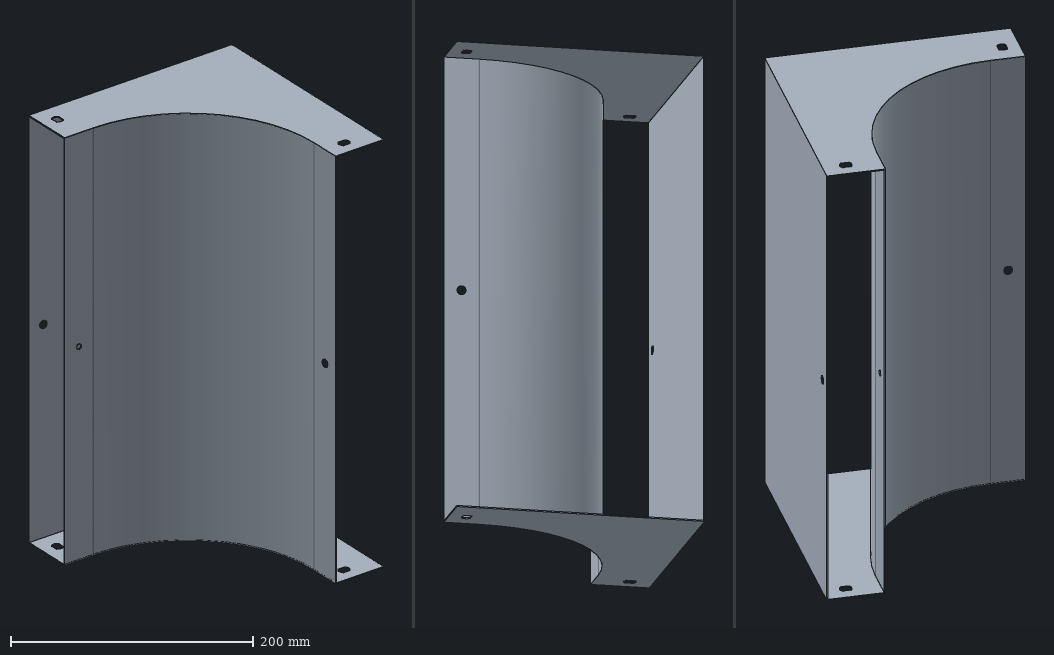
import cadquery as cq

height = 400.0
side = 210.0
sheet = 1.0

leg_width = 50.0
straight = 30.0
arc_radius = side - leg_width - straight

hole_diameter = 7.0
pilot_diameter = 5.0
hole_inset = straight / 2

flat_hole_diameter = 10.0
flat_hole_width = 7.0
left_flat_hole_x = 20.0
right_flat_hole_from_back = 30.0


def corner_outline(offset):
    """Corner-shaped outline whose concave side is moved inward by offset."""
    leg = leg_width - offset
    diagonal = (arc_radius + offset) * 0.5 ** 0.5
    center_x = side - straight
    center_y = straight
    return (
        cq.Workplane("XY")
        .moveTo(0, 0)
        .lineTo(leg, 0)
        .lineTo(leg, center_y)
        .threePointArc(
            (center_x - diagonal, center_y + diagonal),
            (center_x, side - leg),
        )
        .lineTo(side, side - leg)
        .lineTo(side, side)
        .lineTo(0, side)
        .close()
    )


def hollow_shell():
    """Left wall, concave wall and two end plates; the back and both leg ends are open."""
    block = corner_outline(0).extrude(height)
    cavity = corner_outline(sheet).extrude(height - 2 * sheet).translate((0, 0, sheet))
    left_wall = cq.Workplane("XY").box(sheet, side, height, centered=False)
    return block.cut(cavity).union(left_wall)


def cylinder(diameter, length, start, direction):
    return cq.Workplane(
        cq.Solid.makeCylinder(diameter / 2, length, cq.Vector(*start), cq.Vector(*direction))
    )


def wall_holes():
    """Clearance hole in the left wall, smaller pilot behind it, and a hole in the right leg."""
    mid = height / 2
    left_start = (0, hole_inset, mid)
    right_start = (side - hole_inset, side - leg_width, mid)
    clearance = cylinder(hole_diameter, leg_width / 2, left_start, (1, 0, 0))
    pilot = cylinder(pilot_diameter, leg_width, left_start, (1, 0, 0))
    right = cylinder(hole_diameter, leg_width, right_start, (0, 1, 0))
    return clearance.union(pilot).union(right)


def flat_sided_hole(x, y, width_x, width_y):
    """Circle trimmed by a width_x by width_y rectangle, through both end plates."""
    position = cq.Workplane("XY").center(x, y)
    round_cutter = position.circle(flat_hole_diameter / 2).extrude(height)
    trim = position.rect(width_x, width_y).extrude(height)
    return round_cutter.intersect(trim)


def plate_holes():
    """One flat-sided hole near each leg end, its long direction across the leg."""
    left = flat_sided_hole(left_flat_hole_x, hole_inset, flat_hole_diameter, flat_hole_width)
    right = flat_sided_hole(
        side - hole_inset,
        side - right_flat_hole_from_back,
        flat_hole_width,
        flat_hole_diameter,
    )
    return left.union(right)


result = hollow_shell().cut(wall_holes()).cut(plate_holes())